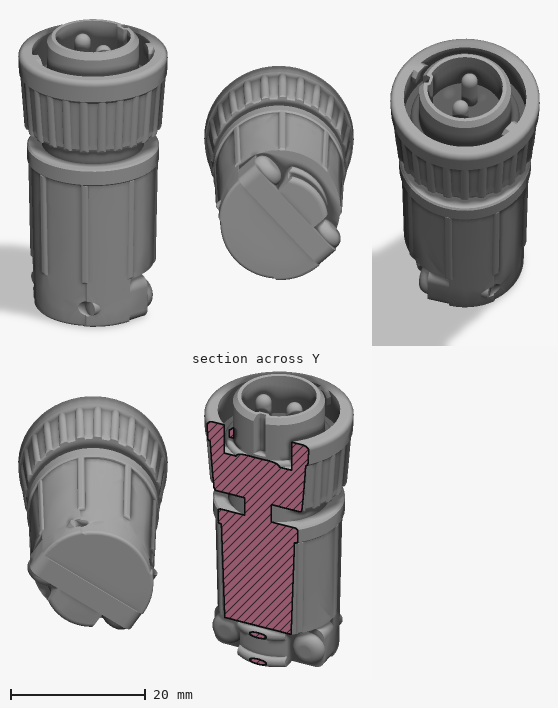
import cadquery as cq
import math

HEIGHT = 43.63
BODY_BOTTOM = 0.2
CLAMP_CUT_TOP = 7.35
FLANGE_BOTTOM = 23.6
FLANGE_TOP = 26.3
COLLAR_BOTTOM = 29.27
GRIP_TOP = 37.95
COLLAR_TOP = 41.25

BODY_R_BOTTOM = 8.95
BODY_R_TOP = 9.45
BODY_EDGE_FILLET = 0.45
FLANGE_R = 9.8
FLANGE_CHAMFER = 0.25
NECK_R = 7.6
BODY_RIB_COUNT = 8
BODY_RIB_WIDTH = 1.2
BODY_RIB_R_TOP = 9.68
BODY_RIB_R_BOTTOM = 9.35
BODY_RIB_FILLET = 0.45
RELIEF_DEPTH = 0.24
RELIEF_Y = -6.2

COLLAR_R = 11.13
COLLAR_BAND_R_BOTTOM = 11.0
COLLAR_BORE_R = 9.1
COLLAR_FLOOR = 36.3
COLLAR_TOP_FILLET = 0.8
GRIP_FLARE = 0.5
GRIP_R_TOP = 10.5
GRIP_R_BOTTOM = 9.85
GRIP_RIB_COUNT = 24
GRIP_RIB_R = 0.75
GRIP_RIB_PROUD = 0.37
GRIP_END_CHAMFER = 0.33
GRIP_RIB_OVERRUN = 1.0
LUG_INNER_R = 8.25
LUG_HEIGHT = 2.0
LUG_MID_ANGLE = 67
LUG_HALF_ANGLE = 9.7
LUG_RAMP = 0.75
LUG_ROOT_OVERLAP = 0.1

PLUG_R = 6.83
PLUG_BORE_R = 5.6
PLUG_CHAMFER_HEIGHT = 0.8
PLUG_CHAMFER_WIDTH = 0.68
PLUG_FLOOR = 37.1
SEAL_R = 7.45
SEAL_SECTION_R = 0.63
KEY_WIDTH_OUTER = 2.05
KEY_WIDTH_INNER = 0.95
KEY_DEPTH_R = 5.5
KEY_BOSS_INNER_R = 5.1
KEY_BOSS_OUTER_R = 5.87
KEY_BOSS_WIDTH_INNER = 1.4
KEY_BOSS_WIDTH_OUTER = 3.2
PIN_X = 2.54
PIN_R = 1.2
PIN_SPHERE_Z = 41.87

CLAMP_HALF_WIDTH = 9.0
CLAMP_DEPTH = 3.3
CLAMP_HEIGHT = 6.68
CLAMP_CORNER_R = 1.5
SADDLE_HALF_WIDTH = 3.9
SADDLE_BOTTOM = 0.28
SADDLE_HEIGHT = 6.3
SADDLE_SIDE_Y = 6.2
SADDLE_CROWN_Y = 7.4
SADDLE_RAIL_R = 0.84
SADDLE_RAIL_FILLET = 0.82
SADDLE_CHANNEL_DEPTH = 0.9
SCREW_X = 6.6
SCREW_Z = 3.27
SCREW_R = 1.2
SCREW_TIP_Y = -5.6
SCREW_HEAD_R = 2.53
SCREW_HEAD_HEIGHT = 1.65
SCREW_HEAD_FILLET = 1.5


def polar_copies(shape, count):
    """Return the shape repeated evenly around Z as one workplane."""
    copies = [shape.rotate((0, 0, 0), (0, 0, 1), i * 360 / count).val() for i in range(count)]
    return cq.Workplane("XY").newObject(copies)


def revolve_profile(points):
    """Revolve a closed (radius, height) outline around Z."""
    return cq.Workplane("XZ").polyline(points).close().revolve(360, (0, 0, 0), (0, 1, 0))


def tapered_core(inset):
    """Tapered body of revolution with a rounded lower edge, drawn in by inset."""
    return revolve_profile([
        (0, BODY_BOTTOM), (BODY_R_BOTTOM - inset, BODY_BOTTOM),
        (BODY_R_TOP - inset, FLANGE_BOTTOM), (0, FLANGE_BOTTOM),
    ]).faces("<Z").edges().fillet(BODY_EDGE_FILLET)


def make_body():
    relief = (
        cq.Workplane("XY", origin=(0, RELIEF_Y - FLANGE_R / 2, 0))
        .box(2 * FLANGE_R, FLANGE_R, FLANGE_BOTTOM, centered=(True, True, False))
        .cut(tapered_core(RELIEF_DEPTH))
    )
    taper = tapered_core(0).cut(relief)
    flange = (
        cq.Workplane("XY").workplane(offset=FLANGE_BOTTOM)
        .circle(FLANGE_R).extrude(FLANGE_TOP - FLANGE_BOTTOM)
        .edges().chamfer(FLANGE_CHAMFER)
    )
    neck = cq.Workplane("XY").workplane(offset=FLANGE_TOP).circle(NECK_R).extrude(COLLAR_BOTTOM - FLANGE_TOP)
    body = taper.union(flange).union(neck)

    rib = (
        cq.Workplane("XZ")
        .polyline([
            (NECK_R, CLAMP_CUT_TOP), (BODY_RIB_R_BOTTOM, CLAMP_CUT_TOP),
            (BODY_RIB_R_TOP, FLANGE_BOTTOM), (NECK_R, FLANGE_BOTTOM),
        ]).close()
        .extrude(BODY_RIB_WIDTH / 2, both=True)
        .faces(">X").edges("not >Z").fillet(BODY_RIB_FILLET)
    )
    for rib_copy in polar_copies(rib, BODY_RIB_COUNT).vals():
        body = body.union(cq.Workplane(rib_copy))

    cutaway = cq.Workplane("XY").box(2 * FLANGE_R, FLANGE_R, CLAMP_CUT_TOP, centered=(True, False, False))
    return body.cut(cutaway)


def make_collar():
    band = revolve_profile([
        (0, GRIP_TOP), (COLLAR_BAND_R_BOTTOM, GRIP_TOP), (COLLAR_R, COLLAR_TOP), (0, COLLAR_TOP),
    ]).faces(">Z").edges().fillet(COLLAR_TOP_FILLET)
    grip = revolve_profile([
        (0, COLLAR_BOTTOM), (GRIP_R_BOTTOM - GRIP_END_CHAMFER / 2, COLLAR_BOTTOM),
        (GRIP_R_BOTTOM, COLLAR_BOTTOM + GRIP_END_CHAMFER), (GRIP_R_TOP, GRIP_TOP - GRIP_FLARE),
        (GRIP_R_TOP + GRIP_FLARE, GRIP_TOP), (0, GRIP_TOP),
    ])

    rise = GRIP_TOP - COLLAR_BOTTOM
    lean = GRIP_R_TOP - GRIP_R_BOTTOM
    axis_inset = GRIP_RIB_R - GRIP_RIB_PROUD
    foot_r = GRIP_R_BOTTOM - axis_inset - GRIP_RIB_OVERRUN * lean / rise
    foot = cq.Vector(foot_r, 0, COLLAR_BOTTOM - GRIP_RIB_OVERRUN)
    rib_length = math.hypot(rise, lean) + GRIP_RIB_OVERRUN
    rib = cq.Workplane(cq.Solid.makeCylinder(GRIP_RIB_R, rib_length, foot, cq.Vector(lean, 0, rise)))
    outer_r = GRIP_R_BOTTOM + GRIP_RIB_PROUD
    envelope = revolve_profile([
        (0, COLLAR_BOTTOM), (outer_r - GRIP_END_CHAMFER / 2, COLLAR_BOTTOM),
        (COLLAR_R, COLLAR_BOTTOM + 2 * (COLLAR_R - outer_r) + GRIP_END_CHAMFER),
        (COLLAR_R, GRIP_TOP), (0, GRIP_TOP),
    ])
    rib = rib.intersect(envelope)
    for rib_copy in polar_copies(rib, GRIP_RIB_COUNT).vals():
        grip = grip.union(cq.Workplane(rib_copy))

    collar = grip.union(band)
    bore = (
        cq.Workplane("XY").workplane(offset=COLLAR_FLOOR)
        .circle(COLLAR_BORE_R).extrude(COLLAR_TOP - COLLAR_FLOOR)
    )
    collar = collar.cut(bore)
    for turn in (0, 180):
        collar = collar.union(make_lug().rotate((0, 0, 0), (0, 0, 1), LUG_MID_ANGLE + turn))
    return collar


def make_lug():
    """Bayonet lug inside the collar mouth, with ramped ends, centred on +X."""
    outer_r = (COLLAR_BORE_R + COLLAR_R) / 2
    half_width = COLLAR_BORE_R * math.sin(math.radians(LUG_HALF_ANGLE))
    block = (
        cq.Workplane("XY").workplane(offset=COLLAR_TOP - LUG_HEIGHT)
        .center(outer_r / 2, 0).rect(outer_r, 2 * half_width).extrude(LUG_HEIGHT)
        .faces(">Z").edges("|X").chamfer(LUG_RAMP)
    )
    ring = (
        cq.Workplane("XY").workplane(offset=COLLAR_TOP - LUG_HEIGHT)
        .circle(COLLAR_BORE_R + LUG_ROOT_OVERLAP).circle(LUG_INNER_R).extrude(LUG_HEIGHT)
    )
    return block.intersect(ring)


def key_prism(inner_r, inner_width, outer_r, outer_width):
    """Trapezoidal prism on the +Y side, from the plug floor to the plug top."""
    return (
        cq.Workplane("XY").workplane(offset=PLUG_FLOOR)
        .polyline([
            (-inner_width / 2, inner_r), (inner_width / 2, inner_r),
            (outer_width / 2, outer_r), (-outer_width / 2, outer_r),
        ]).close().extrude(HEIGHT - PLUG_FLOOR)
    )


def make_plug():
    plug = revolve_profile([
        (0, COLLAR_FLOOR), (PLUG_R, COLLAR_FLOOR), (PLUG_R, HEIGHT - PLUG_CHAMFER_HEIGHT),
        (PLUG_R - PLUG_CHAMFER_WIDTH, HEIGHT), (0, HEIGHT),
    ])
    bore = cq.Workplane("XY").workplane(offset=PLUG_FLOOR).circle(PLUG_BORE_R).extrude(HEIGHT - PLUG_FLOOR)
    boss = key_prism(KEY_BOSS_INNER_R, KEY_BOSS_WIDTH_INNER, KEY_BOSS_OUTER_R, KEY_BOSS_WIDTH_OUTER)
    keyway = key_prism(KEY_DEPTH_R, KEY_WIDTH_INNER, PLUG_R, KEY_WIDTH_OUTER)
    plug = plug.cut(bore).union(boss).cut(keyway)
    seal = cq.Workplane(
        cq.Solid.makeTorus(SEAL_R, SEAL_SECTION_R, cq.Vector(0, 0, COLLAR_FLOOR), cq.Vector(0, 0, 1))
    )
    plug = plug.union(seal)
    for x in (-PIN_X, PIN_X):
        shank = (
            cq.Workplane("XY").workplane(offset=COLLAR_FLOOR).center(x, 0)
            .circle(PIN_R).extrude(PIN_SPHERE_Z - COLLAR_FLOOR)
        )
        tip = cq.Workplane("XY").sphere(PIN_R).translate((x, 0, PIN_SPHERE_Z))
        plug = plug.union(shank).union(tip)
    return plug


def make_saddle():
    """Arched cable saddle with a channel between two rounded rails."""
    def arch(drop, bottom, height):
        return (
            cq.Workplane("XY").workplane(offset=bottom)
            .moveTo(-SADDLE_HALF_WIDTH, 0)
            .lineTo(-SADDLE_HALF_WIDTH, SADDLE_SIDE_Y - drop)
            .threePointArc((0, SADDLE_CROWN_Y - drop), (SADDLE_HALF_WIDTH, SADDLE_SIDE_Y - drop))
            .lineTo(SADDLE_HALF_WIDTH, 0).close().extrude(height)
        )

    rail_width = 2 * SADDLE_RAIL_R
    rail_top = SADDLE_BOTTOM + SADDLE_HEIGHT - rail_width
    saddle = arch(SADDLE_CHANNEL_DEPTH, SADDLE_BOTTOM, SADDLE_HEIGHT)
    for bottom in (SADDLE_BOTTOM, rail_top):
        rail = arch(0, bottom, rail_width).edges("%CIRCLE").fillet(SADDLE_RAIL_FILLET)
        saddle = saddle.union(rail)
    return saddle


def make_clamp():
    bar = (
        cq.Workplane("XY")
        .box(2 * CLAMP_HALF_WIDTH, CLAMP_DEPTH, CLAMP_HEIGHT, centered=(True, False, False))
        .edges("|Y").fillet(CLAMP_CORNER_R)
    )
    return bar.union(make_saddle())


def add_screws(part):
    for x in (-SCREW_X, SCREW_X):
        hole = cq.Workplane("XZ", origin=(x, SCREW_TIP_Y, SCREW_Z)).circle(SCREW_R).extrude(FLANGE_R)
        shank = cq.Workplane("XZ", origin=(x, 0, SCREW_Z)).circle(SCREW_R).extrude(-SCREW_TIP_Y)
        head = (
            cq.Workplane("XZ", origin=(x, CLAMP_DEPTH, SCREW_Z))
            .circle(SCREW_HEAD_R).extrude(-SCREW_HEAD_HEIGHT)
            .faces(">Y").edges().fillet(SCREW_HEAD_FILLET)
        )
        part = part.cut(hole).union(shank).union(head)
    return part


connector = make_body().union(make_collar()).union(make_plug()).union(make_clamp())
result = add_screws(connector)